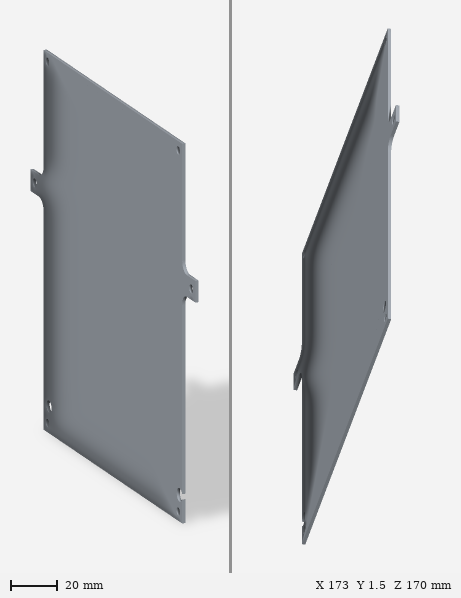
import cadquery as cq

overall_width = 173.0
body_width = 145.3
height = 170.0
thickness = 1.5

tab_height = 9.7
tab_drop = 62.3
tab_fillet = 5.0
tab_hole_diameter = 4.0
tab_hole_inset = 4.5

corner_hole_diameter = 3.6
corner_hole_inset = 4.2

opening_rise = 12.0
left_opening_diameter = 5.4
left_opening_inset = 5.7
right_opening_diameter = 6.0
right_opening_inset = 2.8

tab_z = height / 2 - tab_drop
opening_z = -height / 2 + opening_rise


def cut_holes(plate, centres, diameter):
    """Cut round through holes at the given (x, z) centres."""
    tools = (
        cq.Workplane("XZ")
        .pushPoints(centres)
        .circle(diameter / 2)
        .extrude(thickness, both=True)
    )
    return plate.cut(tools)


body = cq.Workplane("XZ").rect(body_width, height).extrude(thickness / 2, both=True)
tabs = (
    cq.Workplane("XZ")
    .center(0, tab_z)
    .rect(overall_width, tab_height)
    .extrude(thickness / 2, both=True)
)
plate = body.union(tabs)

for side in (-1, 1):
    for edge in (-1, 1):
        corner = (side * body_width / 2, 0, tab_z + edge * tab_height / 2)
        plate = plate.edges("|Y").edges(cq.selectors.NearestToPointSelector(corner)).fillet(tab_fillet)

tab_hole_x = overall_width / 2 - tab_hole_inset
plate = cut_holes(plate, [(-tab_hole_x, tab_z), (tab_hole_x, tab_z)], tab_hole_diameter)

corner_hole_x = body_width / 2 - corner_hole_inset
corner_hole_z = height / 2 - corner_hole_inset
corner_centres = [(i * corner_hole_x, j * corner_hole_z) for i in (-1, 1) for j in (-1, 1)]
plate = cut_holes(plate, corner_centres, corner_hole_diameter)

left_opening_x = -body_width / 2 + left_opening_inset
right_opening_x = body_width / 2 - right_opening_inset
plate = cut_holes(plate, [(left_opening_x, opening_z)], left_opening_diameter)
plate = cut_holes(plate, [(right_opening_x, opening_z)], right_opening_diameter)

result = plate